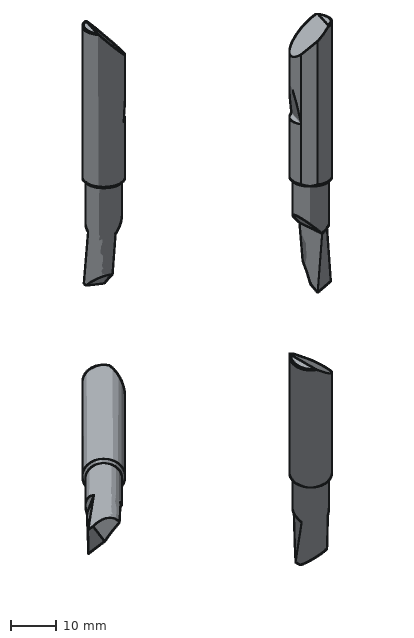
import cadquery as cq
import math

total_length = 63.5
shank_radius = 4.75
neck_radius = 4.05
tip_radius = 4.6
neck_bottom = 13.7
neck_top = 25.4
shank_bottom = neck_top + shank_radius - neck_radius

end_chamfer_width = 0.3
end_chamfer_height = 0.2
slope_bottom = 55.9

flat_angle = 156.0
flat_distance = 4.4
notch_floor = 40.45
notch_top = 48.65
notch_depth = 1.4
notch_radius = 0.4

blade_twist = 19.0
chord_angle = 80.0
end_relief_angle = 6.0
end_lead_angle = 2.0
corner_start = 0.1

big = 4 * shank_radius


def polar(radius, angle):
    return (radius * math.cos(math.radians(angle)), radius * math.sin(math.radians(angle)))


def side_prism(plane, points):
    """Prism of an outline in the XZ or YZ plane, reaching through the whole part."""
    return cq.Workplane(plane).polyline(points).close().extrude(big, both=True)


def make_body():
    """Turned shank, shoulder and neck."""
    outline = [
        (0, neck_bottom),
        (neck_radius, neck_bottom),
        (neck_radius, neck_top),
        (shank_radius, shank_bottom),
        (shank_radius, total_length - end_chamfer_height),
        (shank_radius - end_chamfer_width, total_length),
        (0, total_length),
    ]
    return cq.Workplane("XZ").polyline(outline).close().revolve(360, (0, 0, 0), (0, 1, 0))


def make_end_slope():
    """Waste above the 45 degree slope at the shank end."""
    low = (shank_radius + big, slope_bottom - big)
    high = (shank_radius - big, slope_bottom + big)
    return side_prism("YZ", [low, high, (low[0], high[1])])


def make_side_flat():
    """Waste outside the flat along the shank."""
    height = total_length - neck_top
    block = cq.Workplane("XY").box(big, big, height, centered=(False, True, False))
    return block.translate((flat_distance, 0, neck_top)).rotate((0, 0, 0), (0, 0, 1), flat_angle)


def make_notch():
    """Tapered notch in the +Y side, with a rounded inner corner."""
    floor_y = shank_radius - notch_depth
    points = [(shank_radius, notch_top), (floor_y, notch_floor), (shank_radius, notch_floor)]
    prism = side_prism("YZ", points)
    return prism.edges("<Y").fillet(notch_radius)


def make_neck_bevel(distance, angle):
    """Waste below a 45 degree bevel that meets the neck bottom along a chord."""
    triangle = [(distance, neck_bottom), (distance + big, neck_bottom + big), (distance + big, neck_bottom)]
    return side_prism("XZ", triangle).rotate((0, 0, 0), (0, 0, 1), angle)


def blade_section(radius, twist, height):
    """Half circle with a chord across its first part, turned about Z."""
    start_angle = 180 + twist
    chord_end = start_angle + chord_angle
    arc_middle = (chord_end + start_angle + 180) / 2
    return (
        cq.Workplane("XY", origin=(0, 0, height))
        .moveTo(*polar(radius, start_angle))
        .lineTo(*polar(radius, chord_end))
        .threePointArc(polar(radius, arc_middle), polar(radius, start_angle + 180))
        .close()
        .wire()
        .val()
    )


def make_blade():
    """Twisted blade with a relieved end and a 45 degree corner."""
    sections = [blade_section(tip_radius, 0, 0), blade_section(neck_radius, blade_twist, neck_bottom)]
    blade = cq.Workplane(cq.Solid.makeLoft(sections, True))
    corner = [(corner_start, 0), (corner_start + big, big), (corner_start + big, -big), (corner_start, -big)]
    tip = (-tip_radius, 0, 0)
    end_waste = (
        cq.Workplane("XY")
        .box(2 * big, 2 * big, big, centered=(True, True, False))
        .translate((-tip_radius, 0, -big))
        .rotate(tip, (0, 0, 0), -end_relief_angle)
        .rotate(tip, (-tip_radius, 1, 0), -end_lead_angle)
    )
    return blade.cut(side_prism("XZ", corner)).cut(end_waste)


chord_distance = neck_radius * math.cos(math.radians(chord_angle / 2))
chord_direction = 180 + blade_twist + chord_angle / 2

body = make_body().cut(make_end_slope()).cut(make_side_flat()).cut(make_notch())
body = body.cut(make_neck_bevel(0, 90 + blade_twist))
body = body.cut(make_neck_bevel(chord_distance, chord_direction))
result = body.union(make_blade())